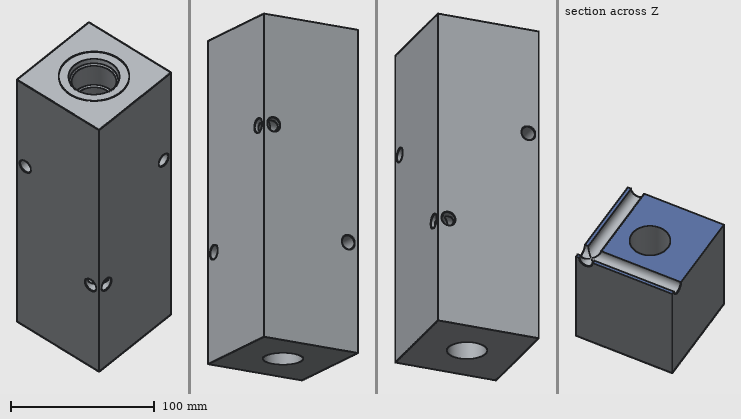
import cadquery as cq
import math

side = 76.2
height = 234.95
edge_chamfer = 0.2

cross_hole_diameter = 9.9
cross_hole_chamfer = 0.4
cross_hole_edge_distance = 7.94
cross_hole_spacing = 76.2

bore_diameter = 28.0
spotface_diameter = 49.0
spotface_depth = 0.7
mouth_diameter = 35.6
mouth_floor_diameter = 33.5
mouth_depth = 3.3
thread_diameter = 31.0
thread_depth = 23.0
drill_point_angle = 118.0


def make_block():
    """Square bar centred on the origin, with all its edges broken."""
    return cq.Workplane("XY").box(side, side, height).edges().chamfer(edge_chamfer)


def make_port_cutter():
    """Through bore whose top end has a spotface, tapered mouth, 45 degree lead-in and thread bore."""
    top = height / 2
    spotface_floor = top - spotface_depth
    mouth_floor = spotface_floor - mouth_depth
    lead_in_floor = mouth_floor - (mouth_floor_diameter - thread_diameter) / 2
    thread_floor = spotface_floor - thread_depth
    half_point_angle = math.radians(drill_point_angle / 2)
    cone_height = (thread_diameter - bore_diameter) / 2 / math.tan(half_point_angle)
    return (
        cq.Workplane("YZ")
        .moveTo(0, -height / 2)
        .lineTo(bore_diameter / 2, -height / 2)
        .lineTo(bore_diameter / 2, thread_floor - cone_height)
        .lineTo(thread_diameter / 2, thread_floor)
        .lineTo(thread_diameter / 2, lead_in_floor)
        .lineTo(mouth_floor_diameter / 2, mouth_floor)
        .lineTo(mouth_diameter / 2, spotface_floor)
        .lineTo(spotface_diameter / 2, spotface_floor)
        .lineTo(spotface_diameter / 2, top)
        .lineTo(0, top)
        .close()
        .revolve(360, (0, 0, 0), (0, 1, 0))
    )


def make_cross_hole_cutter():
    """Through hole along Z and centred on it, chamfered where it leaves the block at either end."""
    radius = cross_hole_diameter / 2
    mouth_radius = radius + cross_hole_chamfer
    end = side / 2
    return (
        cq.Workplane("YZ")
        .moveTo(0, -end)
        .lineTo(mouth_radius, -end)
        .lineTo(radius, -end + cross_hole_chamfer)
        .lineTo(radius, end - cross_hole_chamfer)
        .lineTo(mouth_radius, end)
        .lineTo(0, end)
        .close()
        .revolve(360, (0, 0, 0), (0, 1, 0))
    )


def make_cross_holes():
    """Four cross holes: one along X and one along Y at each of two levels."""
    offset = side / 2 - cross_hole_edge_distance
    rise = cross_hole_spacing / 2
    along_y = make_cross_hole_cutter().rotate((0, 0, 0), (1, 0, 0), 90)
    along_x = make_cross_hole_cutter().rotate((0, 0, 0), (0, 1, 0), 90)
    holes = cq.Workplane("XY")
    for level in (1, -1):
        holes = holes.add(along_y.translate((-level * offset, 0, level * rise)))
        holes = holes.add(along_x.translate((0, level * offset, level * rise)))
    return holes.combine()


result = make_block().cut(make_port_cutter()).cut(make_cross_holes())